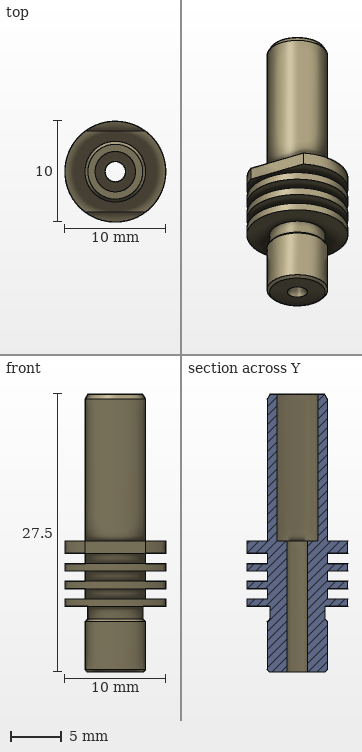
import cadquery as cq
import math

total_height = 27.5
body_radius = 3.0
disc_radius = 5.0

plug_height = 5.25
plug_chamfer = 0.25

neck_radius = body_radius - plug_chamfer
neck_height = 1.25

fin_count = 3
fin_thickness = 0.75
fin_gap = 1.0
fin_pitch = fin_thickness + fin_gap
first_fin_z = plug_height + neck_height

flange_z = first_fin_z + fin_count * fin_pitch
flange_thickness = 1.25
flange_across_flats = 8.0
flange_top_z = flange_z + flange_thickness

lead_in_height = 0.5
lead_in_angle = 30.0
lead_in_width = lead_in_height * math.tan(math.radians(lead_in_angle))

through_bore_radius = 1.0
shank_bore_radius = 2.0
shank_bore_depth = total_height - flange_top_z


def make_cylinder(radius, bottom_z, height):
    return cq.Workplane("XY").workplane(offset=bottom_z).circle(radius).extrude(height)


def make_core():
    """Revolve the plug, neck and shank as one solid."""
    profile = [
        (0, 0),
        (body_radius - plug_chamfer, 0),
        (body_radius, plug_chamfer),
        (body_radius, plug_height - plug_chamfer),
        (neck_radius, plug_height),
        (neck_radius, first_fin_z),
        (body_radius, first_fin_z),
        (body_radius, total_height - lead_in_height),
        (body_radius - lead_in_width, total_height),
        (0, total_height),
    ]
    return cq.Workplane("XZ").polyline(profile).close().revolve(360, (0, 0), (0, 1))


def make_flange():
    """Disc with flats facing -Y and +Y."""
    disc = make_cylinder(disc_radius, flange_z, flange_thickness)
    flats = (
        cq.Workplane("XY")
        .workplane(offset=flange_z)
        .rect(2 * disc_radius, flange_across_flats)
        .extrude(flange_thickness)
    )
    return disc.intersect(flats)


def add_fins(body):
    for index in range(fin_count):
        fin_z = first_fin_z + index * fin_pitch
        body = body.union(make_cylinder(disc_radius, fin_z, fin_thickness))
    return body


def cut_bores(body):
    through_bore = make_cylinder(through_bore_radius, 0, total_height)
    shank_bore = make_cylinder(shank_bore_radius, flange_top_z, shank_bore_depth)
    return body.cut(through_bore).cut(shank_bore)


body = add_fins(make_core())
body = body.union(make_flange())
result = cut_bores(body)